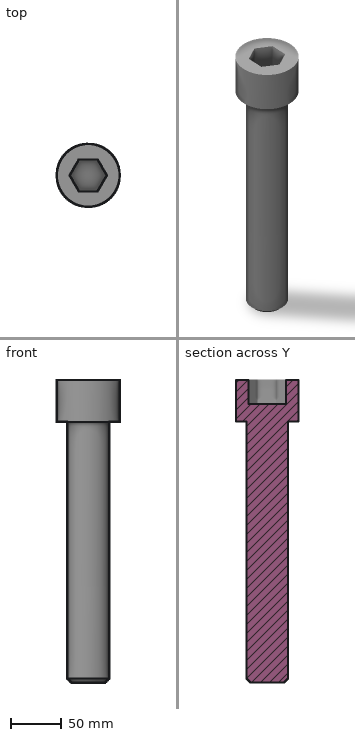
import cadquery as cq
import math

nominal_diameter = 42.0
length_under_head = 260.0
thread_length = 96.0
end_chamfer = 4.5

head_diameter = 63.0
head_height = nominal_diameter

socket_across_flats = 32.0
socket_depth = 24.0
socket_sides = 6


def make_head():
    return cq.Workplane("XY").circle(head_diameter / 2).extrude(head_height)


def make_plain_shank():
    plain_length = length_under_head - thread_length
    return cq.Workplane("XY").circle(nominal_diameter / 2).extrude(-plain_length)


def make_threaded_end():
    """Thread modelled as a plain cylinder at its major diameter, chamfered at the tip."""
    return (
        cq.Workplane("XY", origin=(0, 0, -length_under_head))
        .circle(nominal_diameter / 2)
        .extrude(thread_length)
        .faces("<Z")
        .chamfer(end_chamfer)
    )


def make_socket():
    """Hexagonal prism with two corners on the X axis, open at the top of the head."""
    across_corners = socket_across_flats / math.cos(math.pi / socket_sides)
    return (
        cq.Workplane("XY", origin=(0, 0, head_height))
        .polygon(socket_sides, across_corners)
        .extrude(-socket_depth)
    )


result = make_head().union(make_plain_shank()).union(make_threaded_end()).cut(make_socket())